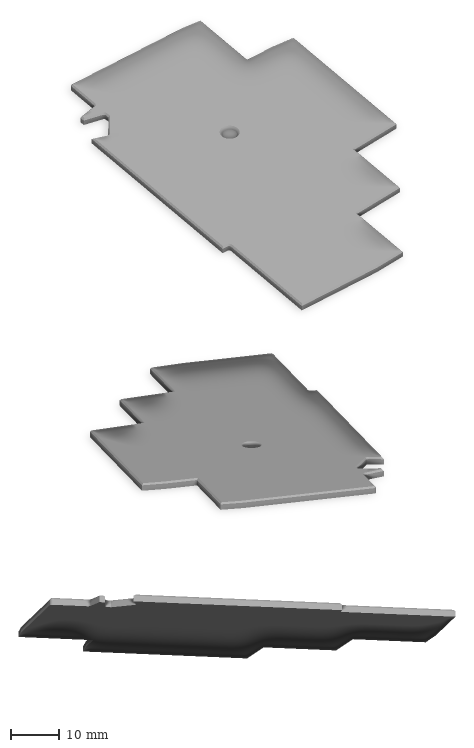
import cadquery as cq

length = 85.1
width = 52.9
thickness = 1.5
edge_bevel = 0.3
corner_radius = 0.5

right_foot = 1.8
left_foot = 7.0
right_shoulder = 28.9
middle_shoulder = 41.0

left_riser = 16.25
middle_riser = 52.6
right_riser = 69.0
foot_end = 60.6

riser_lean = 1.0
short_lean = 0.4
right_lean = 0.6
left_draft_start = 36.6
tower_draft_start = 48.0
right_draft_start = 21.7

prong_center = 10.0
prong_root_width = 3.4
prong_tip_width = 1.2
prong_tip_level = 2.3
catch_start = 12.9
catch_corner = 17.35
catch_level = 3.5
catch_wall = 0.5

recess_x = 32.5
recess_y = 23.7
recess_floor = 3.1
recess_mouth = 4.2
recess_depth = 0.6


def make_plate():
    """Stepped plate with a bevelled upper rim."""
    outline = [
        (0, left_foot),
        (prong_center - prong_root_width / 2, left_foot),
        (prong_center - prong_tip_width / 2, prong_tip_level),
        (prong_center + prong_tip_width / 2, prong_tip_level),
        (prong_center + prong_root_width / 2, left_foot),
        (catch_start, left_foot),
        (catch_corner, catch_level),
        (catch_corner, catch_level - catch_wall),
        (left_riser, 0),
        (foot_end, 0),
        (foot_end, right_foot),
        (length, right_foot),
        (length, right_draft_start),
        (length - right_lean, right_shoulder),
        (right_riser, right_shoulder),
        (right_riser - riser_lean, middle_shoulder),
        (middle_riser, middle_shoulder),
        (middle_riser - riser_lean, width),
        (left_riser + short_lean, width),
        (left_riser, tower_draft_start),
        (left_riser, middle_shoulder),
        (short_lean, middle_shoulder),
        (0, left_draft_start),
    ]
    plate = cq.Workplane("XY").polyline(outline).close().extrude(thickness)
    rounded_corners = [
        (0, left_foot),
        (prong_center - prong_root_width / 2, left_foot),
        (prong_center + prong_root_width / 2, left_foot),
        (foot_end, right_foot),
    ]
    for x, y in rounded_corners:
        corner = cq.selectors.NearestToPointSelector((x, y, thickness / 2))
        plate = plate.edges("|Z").edges(corner).fillet(corner_radius)
    return plate.faces(">Z").edges().chamfer(edge_bevel)


def make_recess():
    """Conical blind recess narrowing to a flat round floor."""
    profile = [
        (0, thickness - recess_depth),
        (recess_floor / 2, thickness - recess_depth),
        (recess_mouth / 2, thickness),
        (0, thickness),
    ]
    recess = cq.Workplane("XZ").polyline(profile).close().revolve(360, (0, 0, 0), (0, 1, 0))
    return recess.translate((recess_x, recess_y, 0))


result = make_plate().cut(make_recess())